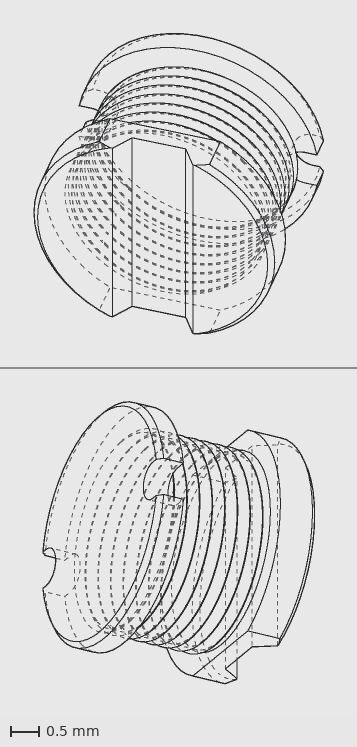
import cadquery as cq

total_length = 3.2
flange_radius = 2.25
flange_chamfer = 0.1

base_thickness = 0.75
base_height = 4.0
groove_depth = base_thickness / 2
groove_mouth_width = 1.5
groove_floor_width = 1.0

rear_thickness = 0.5
notch_radius = 0.36
notch_center_x = 2.0

coil_radius = 1.875
wire_radius = 0.125
coil_pitch = 0.256
core_radius = 1.78
last_top_crest_gap = 0.118

front_y = -total_length / 2
rear_y = total_length / 2
base_inner_y = front_y + base_thickness
rear_inner_y = rear_y - rear_thickness


def cylinder_along_y(radius, start_y, end_y):
    """Solid cylinder on the winding axis between two Y positions."""
    plane = cq.Plane(origin=(0, start_y, 0), xDir=(1, 0, 0), normal=(0, 1, 0))
    return cq.Workplane(plane).circle(radius).extrude(end_y - start_y)


def make_base_flange():
    flange = cylinder_along_y(flange_radius, front_y, base_inner_y)
    flange = flange.faces("<Y").chamfer(flange_chamfer)
    flats = cq.Workplane("XY").box(2 * flange_radius, 2 * total_length, base_height)
    groove_floor_y = front_y + groove_depth
    groove = (
        cq.Workplane("XY")
        .moveTo(-groove_mouth_width / 2, front_y)
        .lineTo(groove_mouth_width / 2, front_y)
        .lineTo(groove_floor_width / 2, groove_floor_y)
        .lineTo(-groove_floor_width / 2, groove_floor_y)
        .close()
        .extrude(flange_radius, both=True)
    )
    return flange.intersect(flats).cut(groove)


def make_rear_flange():
    flange = cylinder_along_y(flange_radius, rear_inner_y, rear_y)
    flange = flange.faces(">Y").chamfer(flange_chamfer)
    for side in (-1, 1):
        outer_center_x = notch_center_x + flange_radius
        slot_center_x = side * (notch_center_x + outer_center_x) / 2
        notch = (
            cq.Workplane("XZ", origin=(slot_center_x, rear_y, 0))
            .slot2D(flange_radius + 2 * notch_radius, 2 * notch_radius)
            .extrude(rear_thickness)
        )
        flange = flange.cut(notch)
    return flange


def make_coil():
    """Right-handed helix of wire, trimmed flush with the inner flange faces."""
    helix_radius = coil_radius - wire_radius
    first_top_fraction = 0.75
    full_turns = 8
    spare_turns = 2
    turns_to_last_crest = full_turns + first_top_fraction
    last_crest_y = rear_inner_y - last_top_crest_gap
    start_y = last_crest_y - turns_to_last_crest * coil_pitch

    helix_length = (full_turns + spare_turns) * coil_pitch
    helix = cq.Workplane(cq.Wire.makeHelix(coil_pitch, helix_length, helix_radius))
    wire = (
        cq.Workplane("XZ", origin=(helix_radius, 0, 0))
        .circle(wire_radius)
        .sweep(helix, isFrenet=True)
        .rotate((0, 0, 0), (1, 0, 0), -90)
        .translate((0, start_y, 0))
    )
    winding_space = cylinder_along_y(flange_radius, base_inner_y, rear_inner_y)
    return wire.intersect(winding_space)


core = cylinder_along_y(core_radius, base_inner_y, rear_inner_y)
result = core.union(make_coil()).union(make_base_flange()).union(make_rear_flange())